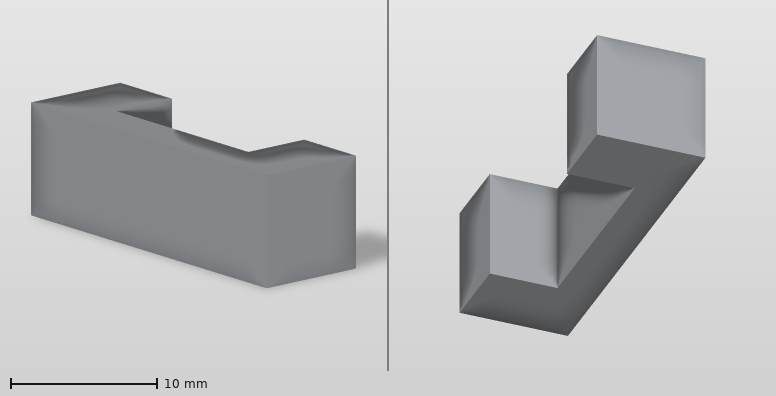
import cadquery as cq

length = 25
depth = 8
height = 8

leg_width = 5.5
web_thickness = 3
notch_width = length - 2 * leg_width
notch_depth = depth - web_thickness

block = cq.Workplane("XY").box(length, depth, height)

notch = (
    cq.Workplane("XY")
    .box(notch_width, notch_depth, height)
    .translate((0, (depth - notch_depth) / 2, 0))
)

result = block.cut(notch)